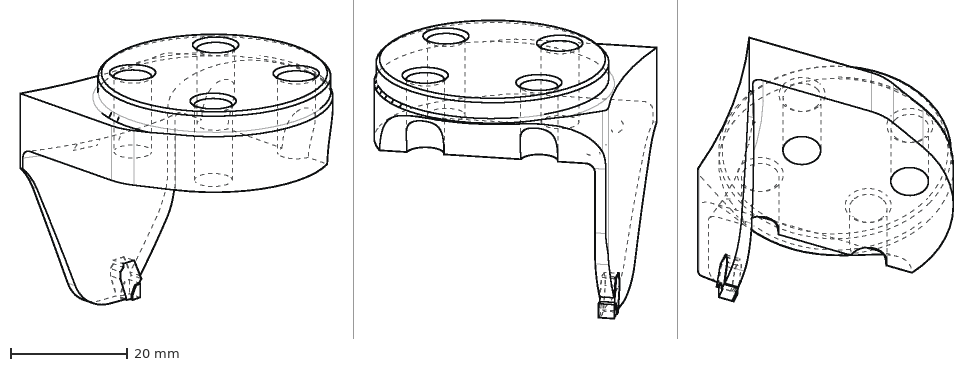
import cadquery as cq
import math


disc_radius = 40 / 2
disc_chamfer = 0.6
disc_bottom = -3.5
flare_radius = 21.0

hole_diameter = 6.5
hole_mouth_diameter = 7.9
hole_offset = 9.95

flange_radius = 20.4
flange_top = -4.4
flange_bottom = -14.4
front_y = -22.7
back_slope_angle = 125
front_slope_angle = -63.3
front_corner_radius = 10.0
back_corner_radius = 1.75

outer_crest_x = -21.3
outer_radius = 80.05
inner_crest_x = -18.75
inner_radius = 52.9
blade_root_fillet = 1.6

blade_back_y = 9.6
blade_bottom = -45.6
back_undercut_radius = flange_radius - blade_back_y
undercut_bottom = flange_top - back_undercut_radius
back_bend_z = -30.65
back_bend_radius = 10.5
tip_corner_y = -11.7
tip_corner_radius = 7.2
front_bend = (-20.4, -21.9)
front_wall_bottom = -18.05

insert_outer_x = -21.5
insert_inner_x = -18.85
insert_bottom = -46
insert_back_y = 0.28
nose_top = -43.42
nose_inner_x = -18.55
nose_recess = 0.2
seat_point = (0.45, -42.1)
insert_foot_y = -2.7
insert_outline = [
    (-0.95, -38.95),
    (-3.45, -38.95),
    (-3.45, -39.6),
    (-4.15, -40.3),
    (-4.15, -41.65),
    (-2.8, -45.4),
    (insert_foot_y, -45.8),
    (insert_back_y, insert_bottom),
    (insert_back_y, nose_top),
    (0.87, -42.8),
    seat_point,
]
nose_outline = [
    (insert_back_y, nose_top),
    (-0.75, -43.55),
    (-0.95, -43.95),
    (-1.6, -45.2),
    (-1.6, insert_bottom),
    (insert_back_y, insert_bottom),
]

span = 55.2


def arc_x(crest_x, radius, y):
    """X of a blade arc at the given y."""
    return crest_x - radius + math.sqrt(radius**2 - y**2)


def tangent_point(angle):
    """Point of the flange circle in the given direction."""
    turn = math.radians(angle)
    return flange_radius * math.cos(turn), flange_radius * math.sin(turn)


def plan_prism(top, bottom):
    """Flange outline seen from above, extruded between two heights."""
    back_tangent = tangent_point(back_slope_angle)
    front_tangent = tangent_point(front_slope_angle)

    slope = -1 / math.tan(math.radians(back_slope_angle))
    back_y = back_tangent[1] + slope * (outer_crest_x - back_tangent[0])
    back_x = arc_x(outer_crest_x, outer_radius, back_y)
    back_y = back_tangent[1] + slope * (back_x - back_tangent[0])

    front_slope = -1 / math.tan(math.radians(front_slope_angle))
    front_corner_x = front_tangent[0] + (front_y - front_tangent[1]) / front_slope
    front_tip_x = arc_x(outer_crest_x, outer_radius, front_y)

    prism = (
        cq.Workplane("XY", origin=(0, 0, bottom))
        .moveTo(front_tip_x, front_y)
        .lineTo(front_corner_x, front_y)
        .lineTo(*front_tangent)
        .threePointArc((flange_radius, 0), back_tangent)
        .lineTo(back_x, back_y)
        .threePointArc((outer_crest_x, 0), (front_tip_x, front_y))
        .close()
        .extrude(top - bottom)
    )
    middle = (top + bottom) / 2
    front_corner = cq.NearestToPointSelector((front_corner_x, front_y, middle))
    back_corner = cq.NearestToPointSelector((back_x, back_y, middle))
    prism = prism.edges(front_corner).fillet(front_corner_radius)
    return prism.edges(back_corner).fillet(back_corner_radius)


def side_prism():
    """Side profile of flange and blade, extruded along X."""
    diagonal = math.sqrt(0.5)
    undercut_middle = (
        flange_radius - back_undercut_radius * diagonal,
        undercut_bottom + back_undercut_radius * diagonal,
    )
    prism = (
        cq.Workplane("YZ", origin=(-span / 2, 0, 0))
        .moveTo(front_y, flange_top)
        .lineTo(flange_radius, flange_top)
        .threePointArc(undercut_middle, (blade_back_y, undercut_bottom))
        .lineTo(blade_back_y, back_bend_z)
        .lineTo(*seat_point)
        .lineTo(insert_foot_y, blade_bottom)
        .lineTo(tip_corner_y, blade_bottom)
        .lineTo(*front_bend)
        .tangentArcPoint((front_y, front_wall_bottom), relative=False)
        .close()
        .extrude(span)
    )
    back_bend = cq.NearestToPointSelector((0, blade_back_y, back_bend_z))
    tip_corner = cq.NearestToPointSelector((0, tip_corner_y, blade_bottom))
    return prism.edges(back_bend).fillet(back_bend_radius).edges(tip_corner).fillet(tip_corner_radius)


def flange_and_blade():
    """Flange with the curved blade hanging from it, trimmed to the side profile."""
    inner_cylinder = (
        cq.Workplane("XY", origin=(inner_crest_x - inner_radius, 0, insert_bottom))
        .circle(inner_radius)
        .extrude(-insert_bottom)
    )
    blade = plan_prism(flange_top, insert_bottom).intersect(inner_cylinder)
    body = plan_prism(flange_top, flange_bottom).union(blade)
    root = cq.NearestToPointSelector((inner_crest_x, 0, flange_bottom))
    body = body.edges(root).fillet(blade_root_fillet)
    return body.intersect(side_prism())


def mounting_disc():
    """Chamfered disc with a concave flare at its foot, kept inside the flange outline."""
    flare_middle = (
        flare_radius - (flare_radius - disc_radius) * math.sqrt(0.5),
        flange_top + (disc_bottom - flange_top) * (1 - math.sqrt(0.5)),
    )
    disc = (
        cq.Workplane("XZ")
        .moveTo(0, 0)
        .lineTo(disc_radius - disc_chamfer, 0)
        .lineTo(disc_radius, -disc_chamfer)
        .lineTo(disc_radius, disc_bottom)
        .threePointArc(flare_middle, (flare_radius, flange_top))
        .lineTo(0, flange_top)
        .close()
        .revolve(360, (0, 0), (0, 1))
    )
    return disc.intersect(plan_prism(0, flange_top))


def drill_mounting_holes(body):
    """Four through holes with 45 degree countersunk mouths."""
    places = [(x, y) for x in (-hole_offset, hole_offset) for y in (-hole_offset, hole_offset)]
    return (
        body.faces(">Z").workplane(origin=(0, 0, 0))
        .pushPoints(places)
        .cskHole(hole_diameter, hole_mouth_diameter, 90)
    )


def yz_prism(outline, start_x, end_x):
    """Closed YZ outline extruded between two X positions."""
    return cq.Workplane("YZ", origin=(start_x, 0, 0)).polyline(outline).close().extrude(end_x - start_x)


def cutting_insert():
    """Insert whose nose is set back on the outer side and stands proud on the inner side."""
    insert = yz_prism(insert_outline, insert_outer_x, insert_inner_x)
    insert = insert.union(yz_prism(nose_outline, insert_inner_x, nose_inner_x))
    return insert.cut(yz_prism(nose_outline, insert_outer_x, insert_outer_x + nose_recess))


holder = flange_and_blade().union(mounting_disc())
holder = drill_mounting_holes(holder)
insert_seat = yz_prism(insert_outline, -span / 2, 0)
holder = holder.cut(insert_seat)

insert = cutting_insert()

result = cq.Compound.makeCompound([holder.val(), insert.val()])